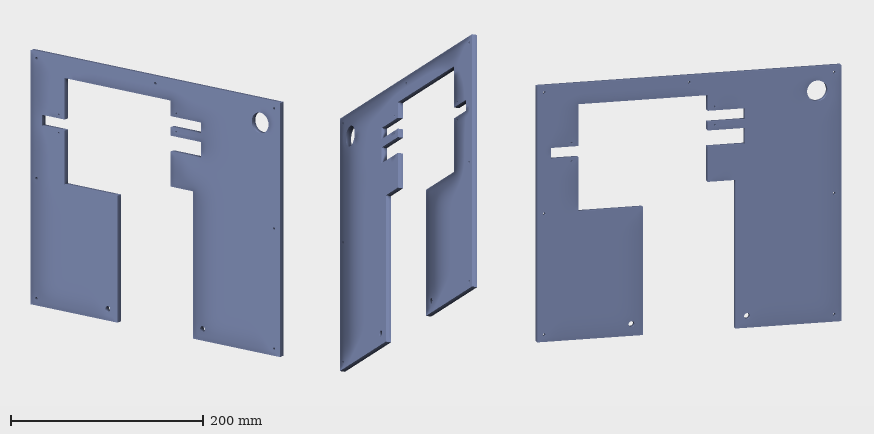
import cadquery as cq

width = 330.0
thickness = 6.0
height = 275.0
left = -width / 2
right = width / 2
top = height / 2
bottom = -height / 2

window_left = left + 45.0
window_right = left + 185.0
window_top = top - 22.5
left_leg_edge = left + 115.0
right_leg_edge = left + 215.0
left_leg_top = 0.0
right_step = top - 115.5

narrow_slot = 12.0
wide_slot = 17.0
left_slot_end = left + 15.0
left_slot_z = top - 73.3
right_slot_end = left + 225.5
upper_slot_z = top - 45.2
lower_slot_z = top - 69.0

edge_hole_diameter = 3.0
edge_hole_inset = 7.5
slot_hole_diameter = 2.0
slot_hole_offset = 10.0
slot_hole_inset = 7.5
leg_hole_diameter = 6.3
leg_hole_inset = 12.5
round_opening_diameter = 22.0
round_opening_inset = 26.0


def block(x_start, x_end, z_start, z_end):
    """Rectangular cutter as deep as the plate."""
    size_x = x_end - x_start
    size_z = z_end - z_start
    middle = ((x_start + x_end) / 2, 0, (z_start + z_end) / 2)
    return cq.Workplane("XY").box(size_x, thickness, size_z).translate(middle)


def slot(x_start, x_end, middle_z, slot_height):
    """Horizontal slot cutter centred on a height."""
    return block(x_start, x_end, middle_z - slot_height / 2, middle_z + slot_height / 2)


def holes(diameter, points):
    """Cutters for round holes through the plate at (x, z) points."""
    plane = cq.Workplane("XZ", origin=(0, thickness / 2, 0))
    return plane.pushPoints(points).circle(diameter / 2).extrude(thickness)


plate = cq.Workplane("XY").box(width, thickness, height)

plate = plate.cut(block(window_left, window_right, left_leg_top, window_top))
plate = plate.cut(block(left_leg_edge, window_right, bottom, left_leg_top))
plate = plate.cut(block(left_leg_edge, right_leg_edge, bottom, right_step))

plate = plate.cut(slot(left_slot_end, window_left, left_slot_z, narrow_slot))
plate = plate.cut(slot(window_right, right_slot_end, upper_slot_z, narrow_slot))
plate = plate.cut(slot(window_right, right_slot_end, lower_slot_z, wide_slot))

edge_x = right - edge_hole_inset
edge_z = top - edge_hole_inset
edge_points = [(x, z) for x in (-edge_x, edge_x) for z in (-edge_z, 0, edge_z)]
edge_points.append((0, edge_z))
plate = plate.cut(holes(edge_hole_diameter, edge_points))

slot_centres = [
    (window_left - slot_hole_inset, left_slot_z),
    (window_right + slot_hole_inset, upper_slot_z),
]
slot_points = [(x, z + side * slot_hole_offset) for x, z in slot_centres for side in (-1, 1)]
plate = plate.cut(holes(slot_hole_diameter, slot_points))

leg_hole_z = bottom + leg_hole_inset
leg_points = [
    (left_leg_edge - leg_hole_inset, leg_hole_z),
    (right_leg_edge + leg_hole_inset, leg_hole_z),
]
plate = plate.cut(holes(leg_hole_diameter, leg_points))

opening_centre = (right - round_opening_inset, top - round_opening_inset)
result = plate.cut(holes(round_opening_diameter, [opening_centre]))